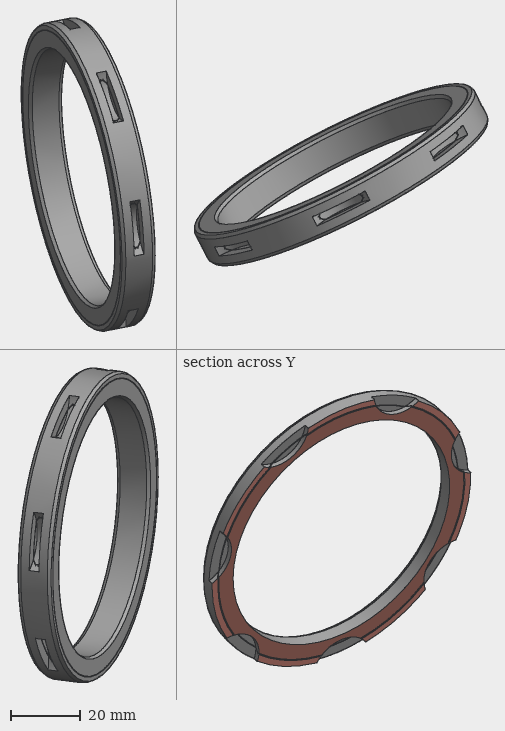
import cadquery as cq

OUTER_RADIUS = 45.0
BORE_RADIUS = 37.5
WIDTH = 10.1

CHAMFER_AXIAL = 1.0
CHAMFER_RADIAL = 0.5

GAP = 0.2
GAP_FACE_RADIUS = 43.1
GAP_CREST_RADIUS = 42.75
GAP_VALLEY_RADIUS = 40.6
CREST_FLAT_WIDTH = 0.8

SLOT_COUNT = 7
SLOT_WIDTH = 3.0
CUTTER_RADIUS = 10.0
CUTTER_CENTRE_RADIUS = 49.5
SLOT_PITCH = 360.0 / SLOT_COUNT

HALF_WIDTH = WIDTH / 2
CHAMFER_START = HALF_WIDTH - CHAMFER_AXIAL


def revolve_ring(profile):
    """Turn a closed list of (radius, y) points once round the Y axis."""
    return cq.Workplane("XY").polyline(profile).close().revolve(360, (0, 0, 0), (0, 1, 0))


def zigzag(radial_offset):
    """Points of the labyrinth from the -Y face to the +Y face, moved outward by radial_offset."""
    face = GAP_FACE_RADIUS + radial_offset
    crest = GAP_CREST_RADIUS + radial_offset
    valley = GAP_VALLEY_RADIUS + radial_offset
    return [
        (face, -HALF_WIDTH),
        (valley, -HALF_WIDTH / 2),
        (crest, -CREST_FLAT_WIDTH / 2),
        (crest, CREST_FLAT_WIDTH / 2),
        (valley, HALF_WIDTH / 2),
        (face, HALF_WIDTH),
    ]


def make_outer_ring():
    rim_face_radius = OUTER_RADIUS - CHAMFER_RADIAL
    return revolve_ring(
        zigzag(GAP / 2)
        + [
            (rim_face_radius, HALF_WIDTH),
            (OUTER_RADIUS, CHAMFER_START),
            (OUTER_RADIUS, -CHAMFER_START),
            (rim_face_radius, -HALF_WIDTH),
        ]
    )


def make_inner_ring():
    bore_face_radius = BORE_RADIUS + CHAMFER_RADIAL
    return revolve_ring(
        zigzag(-GAP / 2)
        + [
            (bore_face_radius, HALF_WIDTH),
            (BORE_RADIUS, CHAMFER_START),
            (BORE_RADIUS, -CHAMFER_START),
            (bore_face_radius, -HALF_WIDTH),
        ]
    )


def cut_slots(ring):
    """Mill the slots, evenly spaced with the first one at the bottom (-Z)."""
    cutter = (
        cq.Workplane("XZ")
        .center(0, -CUTTER_CENTRE_RADIUS)
        .circle(CUTTER_RADIUS)
        .extrude(SLOT_WIDTH / 2, both=True)
    )
    for index in range(SLOT_COUNT):
        ring = ring.cut(cutter.rotate((0, 0, 0), (0, 1, 0), index * SLOT_PITCH))
    return ring


outer_ring = cut_slots(make_outer_ring())
inner_ring = cut_slots(make_inner_ring())

result = cq.Compound.makeCompound([outer_ring.val(), inner_ring.val()])